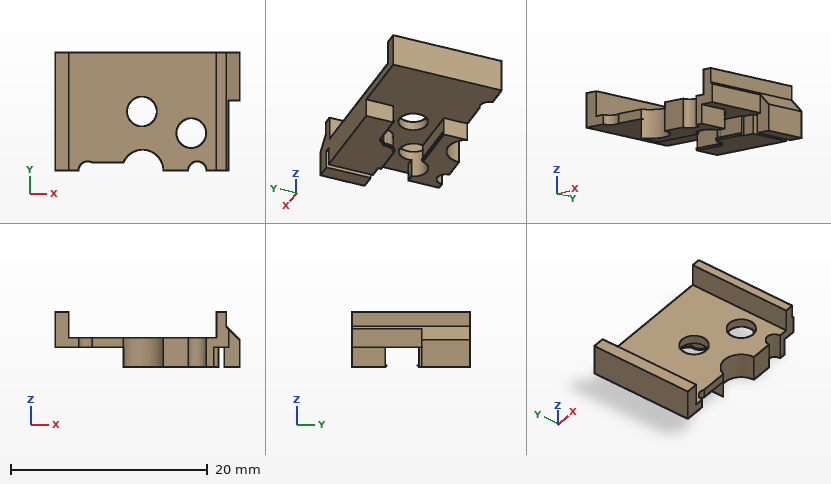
import cadquery as cq
import math

length = 18.8
depth = 12.0
height = 5.6

floor_bottom = 2.0
floor_top = 3.0
left_wall = 1.4
right_wall_inner = 16.4
right_wall_outer = 17.42
tab_shoulder_z = 4.13
tab_front = 7.1
narrow_right = 17.65

hole_diameter = 3.0
hole_centers = [(8.83, 6.0), (13.85, 3.8)]

large_notch_x = 8.9
large_notch_radius = 2.1
small_notch_xs = [3.32, 14.46]
small_notch_radius = 0.92
edge_setback = 0.8

feet_left = large_notch_x - math.sqrt(large_notch_radius**2 - edge_setback**2)
front_foot_right = 16.14
front_foot_back = 3.4
rear_foot_right = 16.63
rear_foot_front = 6.8
rear_step_x = 15.31
bay_back = 9.03
bay_side_x = 11.25
bay_chamfer = 0.8
bay_corner_radius = 1.1
tab_foot_left = 17.2

lip_width = 0.15
lip_height = 0.2


def box(x0, x1, y0, y1, z0, z1):
    return cq.Workplane("XY").box(x1 - x0, y1 - y0, z1 - z0, centered=False).translate((x0, y0, z0))


def make_body():
    """Channel section with a sloped tab on the right, narrowed in front of the tab."""
    slope_drop = length - right_wall_outer
    section = [
        (0, floor_bottom),
        (length, floor_bottom),
        (length, tab_shoulder_z - slope_drop),
        (right_wall_outer, tab_shoulder_z),
        (right_wall_outer, height),
        (right_wall_inner, height),
        (right_wall_inner, floor_top),
        (left_wall, floor_top),
        (left_wall, height),
        (0, height),
    ]
    body = cq.Workplane("XZ").polyline(section).close().extrude(-depth)
    return body.cut(box(narrow_right, length, 0, tab_front, 0, height))


def front_foot_outline(z):
    return (
        cq.Workplane("XY", origin=(feet_left, 0, z))
        .rect(front_foot_right - feet_left, front_foot_back, centered=False)
    )


def rear_foot_outline(z):
    """Recess at the left, 45 degree face, rounded corner, then the foremost face and a step back."""
    corner_y = rear_foot_front + bay_corner_radius
    arc_offset = bay_corner_radius * (1 - math.sqrt(0.5))
    return (
        cq.Workplane("XY", origin=(0, 0, z))
        .moveTo(feet_left, depth)
        .lineTo(feet_left, bay_back)
        .lineTo(bay_side_x - bay_chamfer, bay_back)
        .lineTo(bay_side_x, bay_back - bay_chamfer)
        .lineTo(bay_side_x, corner_y)
        .threePointArc(
            (bay_side_x + arc_offset, rear_foot_front + arc_offset),
            (bay_side_x + bay_corner_radius, rear_foot_front),
        )
        .lineTo(rear_step_x, rear_foot_front)
        .lineTo(rear_step_x, tab_front)
        .lineTo(rear_foot_right, tab_front)
        .lineTo(rear_foot_right, depth)
        .close()
    )


def make_lip(outline):
    """Foot outline widened at the lip top and tapered back to the foot at the bottom."""
    taper = math.degrees(math.atan2(lip_width, lip_height))
    lip = outline(lip_height).offset2D(lip_width, "intersection").extrude(-lip_height, taper=taper)
    return lip.intersect(box(feet_left, rear_step_x, edge_setback, depth, 0, lip_height))


def make_feet():
    feet = box(tab_foot_left, length, tab_front, depth, 0, floor_bottom)
    for outline in (front_foot_outline, rear_foot_outline):
        feet = feet.union(outline(0).extrude(floor_bottom))
        feet = feet.union(make_lip(outline))
    return feet


def cylinder(x, y, radius):
    return cq.Workplane("XY").center(x, y).circle(radius).extrude(height)


def cut_openings(part):
    for x, y in hole_centers:
        part = part.cut(cylinder(x, y, hole_diameter / 2))
    part = part.cut(cylinder(large_notch_x, 0, large_notch_radius))
    for x in small_notch_xs:
        part = part.cut(cylinder(x, 0, small_notch_radius))
    return part.cut(box(small_notch_xs[0], large_notch_x, 0, edge_setback, 0, height))


result = cut_openings(make_body().union(make_feet()))